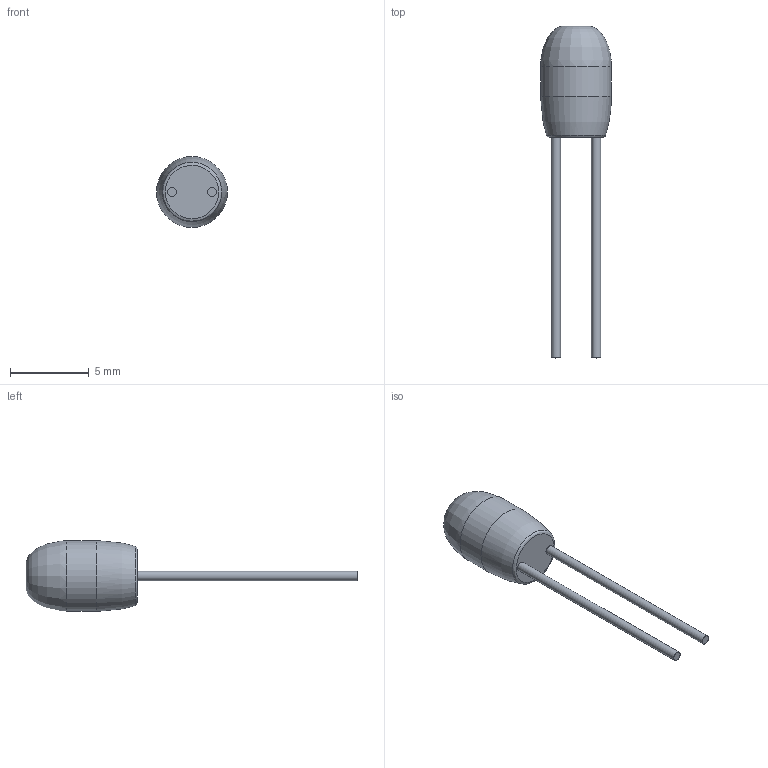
import cadquery as cq


body_radius = 4.5 / 2
body_length = 7.06
dome_length = 2.58
taper_length = 2.6
dome_flat_radius = 0.75
base_corner_radius = 1.84
base_fillet = 0.2

lead_length = 14.0
lead_diameter = 0.58
lead_pitch = 2.54
lead_embedding = 1.0


def make_body():
    """Revolve the half profile: base, tapering arc, cylinder, elliptical dome; then round the base edge."""
    dome_start = body_length - dome_length
    band = cq.Workplane("XY").moveTo(body_radius, dome_start).lineTo(body_radius, taper_length)
    profile = (
        band.tangentArcPoint((base_corner_radius, 0), relative=False)
        .lineTo(0, 0)
        .lineTo(0, body_length)
        .lineTo(dome_flat_radius, body_length)
        .ellipseArc(
            body_radius - dome_flat_radius,
            dome_length,
            angle1=0,
            angle2=90,
            sense=-1,
            startAtCurrent=True,
        )
        .close()
    )
    body = profile.revolve(360, (0, 0), (0, 1))
    return body.faces("<Y").edges().fillet(base_fillet)


def make_lead(x):
    """Round wire along Y, running from inside the body to its free end."""
    return (
        cq.Workplane("XZ", origin=(x, lead_embedding, 0))
        .circle(lead_diameter / 2)
        .extrude(lead_embedding + lead_length)
    )


result = make_body()
for side in (-1, 1):
    result = result.union(make_lead(side * lead_pitch / 2))